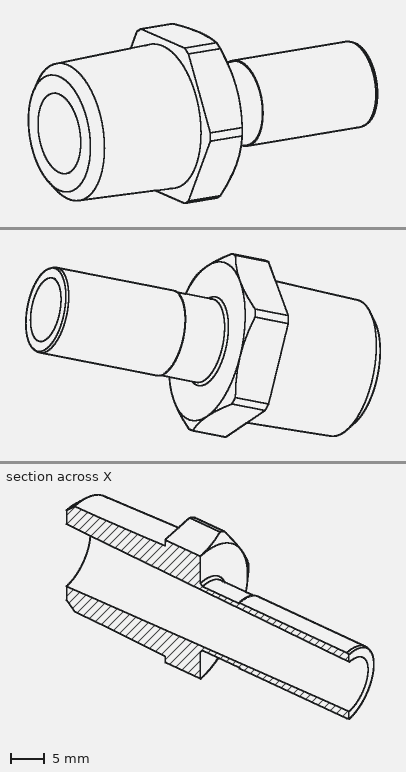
import cadquery as cq
import math

total_length = 51.3
thread_length = 17.9
hex_thickness = 6.4
hex_back = thread_length + hex_thickness
neck_end = 31.35

thread_root_radius = 10.75
thread_chamfer_length = 1.5
thread_face_radius = 8.7
taper_length = thread_length - thread_chamfer_length
radius_taper = 1 / 32
thread_tip_radius = thread_root_radius - taper_length * radius_taper

across_flats = 23.8
turned_diameter = 26.8
hex_chamfer_angle = math.radians(30)

stub_radius = 6.4
stub_tip_length = 0.4
stub_tip_inset = 0.15
neck_radius = 6.25
flare_size = 0.4

bore_front_radius = 6.0
bore_back_radius = 4.75


def revolve_profile(points):
    """Revolve (radius, Y) points about the Y axis."""
    return cq.Workplane("XY").polyline(points).close().revolve(360, (0, 0), (0, 1))


def make_thread():
    return revolve_profile([
        (0, 0),
        (thread_face_radius, 0),
        (thread_tip_radius, thread_chamfer_length),
        (thread_root_radius, thread_length),
        (0, thread_length),
    ])


def make_hex():
    across_corners = across_flats / math.cos(math.radians(30))
    prism = (
        cq.Workplane("XZ", origin=(0, thread_length, 0))
        .polygon(6, across_corners)
        .extrude(-hex_thickness)
    )
    flat_radius = across_flats / 2
    turned_radius = turned_diameter / 2
    bevel_length = (turned_radius - flat_radius) * math.tan(hex_chamfer_angle)
    envelope = revolve_profile([
        (0, thread_length),
        (turned_radius, thread_length),
        (turned_radius, hex_back - bevel_length),
        (flat_radius, hex_back),
        (0, hex_back),
    ])
    return prism.intersect(envelope)


def make_stub():
    return revolve_profile([
        (0, hex_back),
        (neck_radius + flare_size, hex_back),
        (neck_radius, hex_back + flare_size),
        (neck_radius, neck_end),
        (stub_radius, neck_end),
        (stub_radius, total_length - stub_tip_length),
        (stub_radius - stub_tip_inset, total_length),
        (0, total_length),
    ])


def make_bore():
    return revolve_profile([
        (0, 0),
        (bore_front_radius, 0),
        (bore_back_radius, total_length),
        (0, total_length),
    ])


result = make_thread().union(make_hex()).union(make_stub()).cut(make_bore())